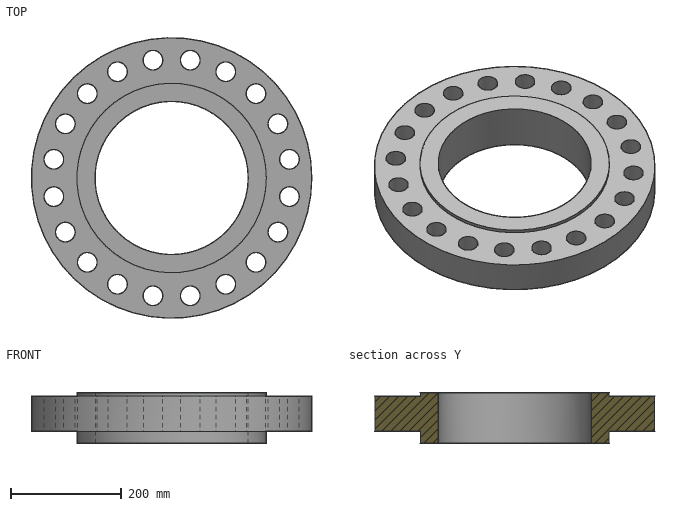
import cadquery as cq

flange_diameter = 508.0
flange_thickness = 63.5

hub_diameter = 343.0
hub_height = 22.0
raised_face_height = 6.5
bore_diameter = 277.0

bolt_count = 20
bolt_hole_diameter = 35.0
bolt_circle_diameter = 432.0
bolt_pitch_angle = 360 / bolt_count

total_height = hub_height + flange_thickness + raised_face_height


def cylinder(diameter, height, base_z=0):
    return cq.Workplane("XY").workplane(offset=base_z).circle(diameter / 2).extrude(height)


def bolt_holes():
    return (
        cq.Workplane("XY")
        .polarArray(bolt_circle_diameter / 2, bolt_pitch_angle / 2, 360, bolt_count)
        .circle(bolt_hole_diameter / 2)
        .extrude(total_height)
    )


hub_and_face = cylinder(hub_diameter, total_height)
flange = cylinder(flange_diameter, flange_thickness, base_z=hub_height)
bore = cylinder(bore_diameter, total_height)

result = flange.union(hub_and_face).cut(bore).cut(bolt_holes())